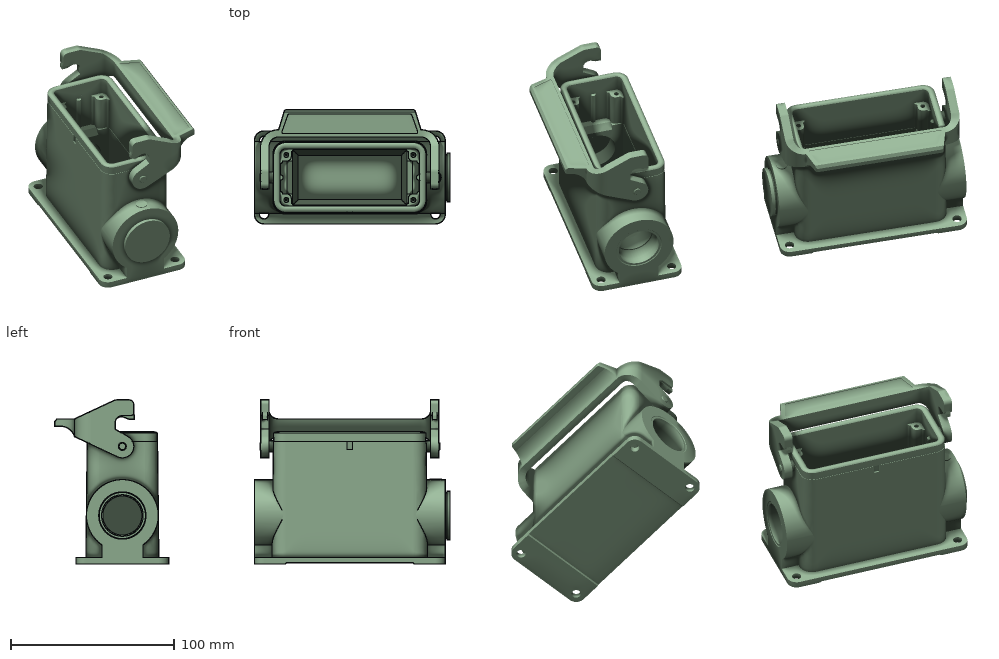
import cadquery as cq
import math

PLATE_LENGTH = 117.0
PLATE_WIDTH = 57.0
PLATE_THICKNESS = 4.0
PLATE_CORNER = 6.0
PLATE_HOLE_DIA = 5.6
RELIEF_DEPTH = 0.7
RELIEF_HALF_LENGTH = 38.7

CORNER_X = 39.3
CORNER_Y = 14.1
SHOULDER_Z = 75.0
BODY_TAPER = 0.65
SHOULDER_RADIUS = 7.5
RIM_OUTER_RADIUS = 7.3
RIM_INNER_RADIUS = 3.4
CAVITY_TAPER = 0.5
RIM_TOP_Z = 81.0
CROWN_HEIGHT = 0.9

MARK_WIDTH = 3.5
MARK_HEIGHT = 4.8
MARK_DEPTH = 0.8

LEDGE_Z = 48.0
FLOOR_Z = 4.0
LOWER_HALF_LENGTH = 35.0
LOWER_HALF_WIDTH = 17.0
FLOOR_CHAMFER = 3.4
LEDGE_BEVEL = 3.5

POST_TOP_Z = 69.5
POST_FACE_X = 35.8
POST_FACE_Y = 10.0
POST_EDGE_RADIUS = 3.0
POST_ROOT_RADIUS = 1.4
SCREW_HOLE_DIA = 3.0
SCREW_HOLE_X = 38.9
SCREW_HOLE_Y = 13.8
SCREW_HOLE_DEPTH = 12.0
SCREW_HOLE_TIP_DIA = 0.77
RIB_DIA = 3.0
RIB_INSET = 0.4

ENTRY_Z = 29.7
ENTRY_RADIUS = 22.0
ENTRY_MOUTH_DIA = 29.0
ENTRY_RECESS_DIA = 28.3
ENTRY_BORE_DIA = 25.5
ENTRY_BORE_DEPTH = 13.0
ENTRY_THROAT_DIA = 24.0
ENTRY_NECK_WIDTH = 25.0
PAD_DIA = 7.0
PAD_X = 52.5
PAD_PROUD = 0.5

PLUG_NECK_DIA = 28.0
PLUG_NECK_PROUD = 1.0
PLUG_FLANGE_DIA = 30.0
PLUG_FLANGE_THICKNESS = 2.0

PIN_Z = 72.0
PIN_COLLAR_DIA = 7.0
PIN_LEVER_DIA = 4.8
PIN_ROOT_DIA = 4.0
PIN_PROUD = 0.5
PIN_TIP_CHAMFER = 0.4

LEVER_OUTER_X = 54.6
BEND_X = 43.6
BEND_Y = 19.0
BAR_THICKNESS = 4.5
BEND_INNER_RADIUS = 5.8
LEVER_TOP_Z = 100.6
EYE_RADIUS = 7.0
EDGE_SLOPE = 25.0
THROAT_SLOPE = 30.0
HOOK_BACK_Y = 4.25
HOOK_FRONT_Y = -7.0
HOOK_BOTTOM_Z = 90.9
THROAT_RADIUS = 4.2
HOOK_TOP_RADIUS = 3.0
HOOK_LOWER_RADIUS = 1.8
CREST_RADIUS = 4.5
NUB_WIDTH = 3.0
NUB_FRONT_Y = -7.4
NUB_BOTTOM_Z = 88.6
NUB_LIP = 0.9
NUB_CREST_Y = -0.5
NUB_BACK_Y = -4.0
NUB_THROAT_RADIUS = 4.0
BEND_STEPS = 8

GRIP_TIP_Y = 41.5
GRIP_TIP_HALF_LENGTH = 39.9
GRIP_CORNER_RADIUS = 1.5
GRIP_TIP_BOTTOM_Z = 84.3
GRIP_TIP_CHAMFER_Y = 1.4
GRIP_TIP_CHAMFER_Z = 1.8
GRIP_ARC_START_Y = 37.0
GRIP_ARC_RADIUS = 9.0
PANEL_DEPTH = 0.4
PANEL_ROOT_Y = 26.8
PANEL_ROOT_HALF_LENGTH = 42.0
PANEL_TIP_Y = 38.8
PANEL_TIP_HALF_LENGTH = 37.8
PANEL_CORNER = 1.0

END_X = PLATE_LENGTH / 2
BORE_END_X = END_X - ENTRY_BORE_DEPTH
RECESS_X = END_X - (ENTRY_MOUTH_DIA - ENTRY_RECESS_DIA) / 2
BASE_RADIUS = SHOULDER_RADIUS + (SHOULDER_Z - PLATE_THICKNESS) * math.tan(math.radians(BODY_TAPER))
INNER_X = CORNER_X + RIM_INNER_RADIUS
INNER_Y = CORNER_Y + RIM_INNER_RADIUS
WALL_RADIUS = RIM_INNER_RADIUS - (SHOULDER_Z - LEDGE_Z) * math.tan(math.radians(CAVITY_TAPER))
WALL_X = CORNER_X + WALL_RADIUS
WALL_Y = CORNER_Y + WALL_RADIUS
CROWN_BASE_Z = RIM_TOP_Z - CROWN_HEIGHT
LEVER_INNER_X = BEND_X + BEND_INNER_RADIUS
LEVER_MIDDLE_X = (LEVER_OUTER_X + LEVER_INNER_X) / 2
BAR_FRONT_Y = BEND_Y + BEND_INNER_RADIUS
BAR_BACK_Y = BAR_FRONT_Y + BAR_THICKNESS


def rounded_block(radius, z_bottom, z_top, taper=0.0):
    """Block on the shared corner centres, with vertical corners of the given radius."""
    return (
        cq.Workplane("XY")
        .workplane(offset=z_bottom)
        .sketch()
        .rect(2 * (CORNER_X + radius), 2 * (CORNER_Y + radius))
        .vertices()
        .fillet(radius)
        .finalize()
        .extrude(z_top - z_bottom, taper=taper)
    )


def box_between(x_min, x_max, y_min, y_max, z_min, z_max):
    box = cq.Workplane("XY").box(x_max - x_min, y_max - y_min, z_max - z_min, centered=False)
    return box.translate((x_min, y_min, z_min))


def cylinder_x(diameter, x_start, x_end, z):
    """Cylinder along X at Y = 0."""
    section = cq.Workplane("YZ").workplane(offset=x_start).center(0, z).circle(diameter / 2)
    return section.extrude(x_end - x_start)


def make_plate():
    plate = (
        cq.Workplane("XY")
        .box(PLATE_LENGTH, PLATE_WIDTH, PLATE_THICKNESS, centered=(True, True, False))
        .edges("|Z")
        .fillet(PLATE_CORNER)
    )
    relief = (
        cq.Workplane("XZ")
        .moveTo(-RELIEF_HALF_LENGTH - RELIEF_DEPTH, 0)
        .lineTo(-RELIEF_HALF_LENGTH, RELIEF_DEPTH)
        .lineTo(RELIEF_HALF_LENGTH, RELIEF_DEPTH)
        .lineTo(RELIEF_HALF_LENGTH + RELIEF_DEPTH, 0)
        .close()
        .extrude(PLATE_WIDTH / 2, both=True)
    )
    holes = (
        cq.Workplane("XY")
        .rect(PLATE_LENGTH - 2 * PLATE_CORNER, PLATE_WIDTH - 2 * PLATE_CORNER, forConstruction=True)
        .vertices()
        .circle(PLATE_HOLE_DIA / 2)
        .extrude(PLATE_THICKNESS)
    )
    return plate.cut(relief).cut(holes)


def make_crown():
    """Rounded top of the rim: a circular segment swept around the rim."""
    middle_radius = (RIM_OUTER_RADIUS + RIM_INNER_RADIUS) / 2
    path = (
        cq.Workplane("XY")
        .workplane(offset=CROWN_BASE_Z)
        .moveTo(0, -CORNER_Y - middle_radius)
        .lineTo(CORNER_X, -CORNER_Y - middle_radius)
        .radiusArc((CORNER_X + middle_radius, -CORNER_Y), -middle_radius)
        .lineTo(CORNER_X + middle_radius, CORNER_Y)
        .radiusArc((CORNER_X, CORNER_Y + middle_radius), -middle_radius)
        .lineTo(-CORNER_X, CORNER_Y + middle_radius)
        .radiusArc((-CORNER_X - middle_radius, CORNER_Y), -middle_radius)
        .lineTo(-CORNER_X - middle_radius, -CORNER_Y)
        .radiusArc((-CORNER_X, -CORNER_Y - middle_radius), -middle_radius)
        .close()
    )
    return (
        cq.Workplane("YZ")
        .moveTo(-CORNER_Y - RIM_OUTER_RADIUS, CROWN_BASE_Z)
        .threePointArc(
            (-CORNER_Y - middle_radius, RIM_TOP_Z),
            (-CORNER_Y - RIM_INNER_RADIUS, CROWN_BASE_Z),
        )
        .close()
        .sweep(path)
    )


def make_entry():
    """Cable entry at the +X end: a round boss on a flat neck."""
    boss = cylinder_x(2 * ENTRY_RADIUS, CORNER_X, END_X, ENTRY_Z)
    half_width = ENTRY_NECK_WIDTH / 2
    neck = box_between(CORNER_X, END_X, -half_width, half_width, PLATE_THICKNESS, ENTRY_Z)
    return boss.union(neck)


def make_entry_bore():
    """Stepped bore of the +X entry, with a shallow recess at its mouth."""
    return (
        cq.Workplane("XY")
        .lineTo(0, ENTRY_THROAT_DIA / 2)
        .lineTo(BORE_END_X, ENTRY_THROAT_DIA / 2)
        .lineTo(BORE_END_X, ENTRY_BORE_DIA / 2)
        .lineTo(RECESS_X, ENTRY_BORE_DIA / 2)
        .lineTo(RECESS_X, ENTRY_RECESS_DIA / 2)
        .lineTo(END_X, ENTRY_MOUTH_DIA / 2)
        .lineTo(END_X, 0)
        .close()
        .revolve(360, (0, 0, 0), (1, 0, 0))
        .translate((0, 0, ENTRY_Z))
    )


def make_lower_cavity():
    lower = (
        box_between(
            -LOWER_HALF_LENGTH, LOWER_HALF_LENGTH, -LOWER_HALF_WIDTH, LOWER_HALF_WIDTH, FLOOR_Z, LEDGE_Z
        )
        .faces("<Z")
        .edges()
        .chamfer(FLOOR_CHAMFER)
    )
    bevel = (
        cq.Workplane("XZ")
        .moveTo(-LOWER_HALF_LENGTH, LEDGE_Z - LEDGE_BEVEL)
        .lineTo(-LOWER_HALF_LENGTH - LEDGE_BEVEL, LEDGE_Z)
        .lineTo(LOWER_HALF_LENGTH + LEDGE_BEVEL, LEDGE_Z)
        .lineTo(LOWER_HALF_LENGTH, LEDGE_Z - LEDGE_BEVEL)
        .close()
        .extrude(POST_FACE_Y, both=True)
    )
    return lower.union(bevel)


def make_post():
    """Corner post at +X, +Y: rounded inner edge, hollow fillets against both walls."""
    past_x = INNER_X + POST_ROOT_RADIUS
    past_y = INNER_Y + POST_ROOT_RADIUS
    return (
        cq.Workplane("XY")
        .workplane(offset=LEDGE_Z)
        .moveTo(past_x, past_y)
        .lineTo(past_x, POST_FACE_Y - POST_ROOT_RADIUS)
        .lineTo(WALL_X, POST_FACE_Y - POST_ROOT_RADIUS)
        .radiusArc((WALL_X - POST_ROOT_RADIUS, POST_FACE_Y), POST_ROOT_RADIUS)
        .lineTo(POST_FACE_X + POST_EDGE_RADIUS, POST_FACE_Y)
        .radiusArc((POST_FACE_X, POST_FACE_Y + POST_EDGE_RADIUS), POST_EDGE_RADIUS)
        .lineTo(POST_FACE_X, WALL_Y - POST_ROOT_RADIUS)
        .radiusArc((POST_FACE_X - POST_ROOT_RADIUS, WALL_Y), POST_ROOT_RADIUS)
        .lineTo(POST_FACE_X - POST_ROOT_RADIUS, past_y)
        .close()
        .extrude(POST_TOP_Z - LEDGE_Z)
    )


def make_screw_hole():
    """Hole in the +X, +Y post: a cylinder ending in a drill point."""
    radius = SCREW_HOLE_DIA / 2
    tip_radius = SCREW_HOLE_TIP_DIA / 2
    return (
        cq.Workplane("XZ")
        .lineTo(radius, 0)
        .lineTo(radius, -SCREW_HOLE_DEPTH)
        .lineTo(tip_radius, -SCREW_HOLE_DEPTH - radius + tip_radius)
        .lineTo(0, -SCREW_HOLE_DEPTH - radius + tip_radius)
        .close()
        .revolve(360, (0, 0, 0), (0, 1, 0))
        .translate((SCREW_HOLE_X, SCREW_HOLE_Y, POST_TOP_Z))
    )


def four_corners(shape):
    """The shape and its mirror images across X = 0 and Y = 0, as a list."""
    pair = [shape, shape.mirror("YZ")]
    return pair + [copy.mirror("XZ") for copy in pair]


def make_cavity():
    cavity = rounded_block(RIM_INNER_RADIUS, SHOULDER_Z, RIM_TOP_Z).union(
        rounded_block(WALL_RADIUS, LEDGE_Z, SHOULDER_Z, -CAVITY_TAPER)
    )
    for post in four_corners(make_post()):
        cavity = cavity.cut(post)
    ribs = (
        cq.Workplane("XY")
        .workplane(offset=LEDGE_Z)
        .pushPoints([(-INNER_X + RIB_INSET, 0), (INNER_X - RIB_INSET, 0)])
        .circle(RIB_DIA / 2)
        .extrude(POST_TOP_Z - LEDGE_Z)
    )
    cavity = cavity.cut(ribs).union(make_lower_cavity())
    for hole in four_corners(make_screw_hole()):
        cavity = cavity.union(hole)
    return cavity


def make_wall_envelope():
    """Solid outside of the housing wall: the tapered body and the rim above its shoulder."""
    body = rounded_block(BASE_RADIUS, PLATE_THICKNESS, SHOULDER_Z, BODY_TAPER)
    return body.union(rounded_block(RIM_OUTER_RADIUS, SHOULDER_Z, CROWN_BASE_Z))


def make_mark():
    """Cutter for the shallow notch below the rim on the -Y wall."""
    half_width = MARK_WIDTH / 2
    notch_floor_y = -CORNER_Y - SHOULDER_RADIUS + MARK_DEPTH
    outside_y = -CORNER_Y - BASE_RADIUS
    return box_between(
        -half_width, half_width, outside_y, notch_floor_y, SHOULDER_Z - MARK_HEIGHT, SHOULDER_Z
    )


def make_housing():
    housing = make_plate().union(make_wall_envelope())
    entry = make_entry()
    pad = (
        cq.Workplane("XY")
        .workplane(offset=ENTRY_Z + ENTRY_RADIUS - PAD_PROUD)
        .center(PAD_X, 0)
        .circle(PAD_DIA / 2)
        .extrude(2 * PAD_PROUD)
    )
    housing = housing.union(entry).union(entry.mirror("YZ")).union(pad)
    housing = housing.cut(make_cavity()).union(make_crown())
    bore = make_entry_bore()
    pin_hole = cylinder_x(PIN_ROOT_DIA, 0, END_X, PIN_Z)
    for cutter in (bore, pin_hole):
        housing = housing.cut(cutter).cut(cutter.mirror("YZ"))
    return housing.cut(make_mark())


def make_plug():
    """Plug of the +X entry: spigot filling the bore, neck on the recess floor, flange."""
    neck_end = END_X + PLUG_NECK_PROUD
    spigot = cylinder_x(ENTRY_BORE_DIA, BORE_END_X, RECESS_X, ENTRY_Z)
    neck = cylinder_x(PLUG_NECK_DIA, RECESS_X, neck_end, ENTRY_Z)
    flange = cylinder_x(PLUG_FLANGE_DIA, neck_end, neck_end + PLUG_FLANGE_THICKNESS, ENTRY_Z)
    return spigot.union(neck).union(flange)


def make_pin():
    """Pin at the +X side: root in the housing wall, collar, and tip through the lever."""
    root = cylinder_x(PIN_ROOT_DIA, INNER_X, LEVER_INNER_X, PIN_Z)
    collar = cylinder_x(PIN_COLLAR_DIA, INNER_X, LEVER_INNER_X, PIN_Z)
    tip = cylinder_x(PIN_LEVER_DIA, LEVER_INNER_X, LEVER_OUTER_X + PIN_PROUD, PIN_Z)
    tip = tip.faces(">X").chamfer(PIN_TIP_CHAMFER)
    return root.union(collar.cut(make_wall_envelope())).union(tip)


EDGE_TAN = math.tan(math.radians(EDGE_SLOPE))
EYE_BACK_Y = EYE_RADIUS * math.sin(math.radians(EDGE_SLOPE))
EYE_BACK_Z = PIN_Z - EYE_RADIUS * math.cos(math.radians(EDGE_SLOPE))


def upper_edge_z(y):
    """Height of the sloped upper edge of the arms."""
    return LEVER_TOP_Z - (y - HOOK_BACK_Y) * EDGE_TAN


def lower_edge_z(y):
    """Height of the sloped lower edge of the arms, tangent to the pivot eye."""
    return EYE_BACK_Z + (y - EYE_BACK_Y) * EDGE_TAN


BAR_TOP_Z = upper_edge_z(BAR_BACK_Y)
BAR_BOTTOM_Z = lower_edge_z(BAR_BACK_Y)


def make_arm():
    """Flat hooked arm at the +X side, ending at the bend."""
    throat = math.radians(THROAT_SLOPE)
    throat_end_y = -EYE_RADIUS * math.sin(throat)
    throat_end_z = PIN_Z + EYE_RADIUS * math.cos(throat)
    throat_corner_z = throat_end_z + (HOOK_BACK_Y - throat_end_y) * math.tan(throat)
    crest_run = CREST_RADIUS * math.tan(math.radians(EDGE_SLOPE / 2))
    crest_back_y = HOOK_BACK_Y + crest_run * math.cos(math.radians(EDGE_SLOPE))
    return (
        cq.Workplane("YZ")
        .workplane(offset=LEVER_INNER_X)
        .moveTo(BEND_Y, upper_edge_z(BEND_Y))
        .lineTo(crest_back_y, upper_edge_z(crest_back_y))
        .radiusArc((HOOK_BACK_Y - crest_run, LEVER_TOP_Z), -CREST_RADIUS)
        .lineTo(HOOK_FRONT_Y + HOOK_TOP_RADIUS, LEVER_TOP_Z)
        .radiusArc((HOOK_FRONT_Y, LEVER_TOP_Z - HOOK_TOP_RADIUS), -HOOK_TOP_RADIUS)
        .lineTo(HOOK_FRONT_Y, HOOK_BOTTOM_Z + HOOK_LOWER_RADIUS)
        .radiusArc((HOOK_FRONT_Y + HOOK_LOWER_RADIUS, HOOK_BOTTOM_Z), -HOOK_LOWER_RADIUS)
        .lineTo(HOOK_BACK_Y - THROAT_RADIUS, HOOK_BOTTOM_Z)
        .radiusArc((HOOK_BACK_Y, HOOK_BOTTOM_Z - THROAT_RADIUS), THROAT_RADIUS)
        .lineTo(HOOK_BACK_Y, throat_corner_z)
        .lineTo(throat_end_y, throat_end_z)
        .threePointArc((-EYE_RADIUS, PIN_Z), (0, PIN_Z - EYE_RADIUS))
        .radiusArc((EYE_BACK_Y, EYE_BACK_Z), -EYE_RADIUS)
        .lineTo(BEND_Y, lower_edge_z(BEND_Y))
        .close()
        .extrude(LEVER_OUTER_X - LEVER_INNER_X)
    )


def make_bend():
    """Bend at the +X side; its sloped top and bottom stay level along every radius."""
    outer_x_radius = LEVER_OUTER_X - BEND_X
    outer_y_radius = BAR_BACK_Y - BEND_Y

    def bend_edge(x_radius, y_radius, edge_z):
        points = []
        for step in range(BEND_STEPS + 1):
            angle = math.pi / 2 * step / BEND_STEPS
            height = edge_z(BEND_Y + outer_y_radius * math.sin(angle))
            points.append(
                cq.Vector(BEND_X + x_radius * math.cos(angle), BEND_Y + y_radius * math.sin(angle), height)
            )
        return cq.Edge.makeSpline(points)

    edges = [
        bend_edge(BEND_INNER_RADIUS, BEND_INNER_RADIUS, lower_edge_z),
        bend_edge(outer_x_radius, outer_y_radius, lower_edge_z),
        bend_edge(outer_x_radius, outer_y_radius, upper_edge_z),
        bend_edge(BEND_INNER_RADIUS, BEND_INNER_RADIUS, upper_edge_z),
    ]
    faces = [cq.Face.makeRuledSurface(edges[i - 1], edges[i]) for i in range(len(edges))]
    for corners in ([edge.startPoint() for edge in edges], [edge.endPoint() for edge in edges]):
        faces.append(cq.Face.makeFromWires(cq.Wire.makePolygon(corners, close=True)))
    return cq.Workplane(cq.Solid.makeSolid(cq.Shell.makeShell(faces)))


def make_grip():
    """Finger grip behind the bar: a side profile trimmed to a tapering plan."""
    profile = (
        cq.Workplane("YZ")
        .moveTo(BAR_FRONT_Y, BAR_TOP_Z)
        .lineTo(GRIP_TIP_Y - GRIP_TIP_CHAMFER_Y, BAR_TOP_Z)
        .lineTo(GRIP_TIP_Y, BAR_TOP_Z - GRIP_TIP_CHAMFER_Z)
        .lineTo(GRIP_TIP_Y, GRIP_TIP_BOTTOM_Z)
        .lineTo(GRIP_ARC_START_Y, GRIP_TIP_BOTTOM_Z)
        .radiusArc((BAR_BACK_Y, BAR_BOTTOM_Z), -GRIP_ARC_RADIUS)
        .lineTo(BAR_FRONT_Y, BAR_BOTTOM_Z)
        .close()
        .extrude(BEND_X, both=True)
    )
    plan = (
        cq.Workplane("XY")
        .workplane(offset=BAR_BOTTOM_Z)
        .moveTo(-BEND_X, BAR_FRONT_Y)
        .lineTo(BEND_X, BAR_FRONT_Y)
        .lineTo(BEND_X, BAR_BACK_Y)
        .lineTo(GRIP_TIP_HALF_LENGTH, GRIP_TIP_Y)
        .lineTo(-GRIP_TIP_HALF_LENGTH, GRIP_TIP_Y)
        .lineTo(-BEND_X, BAR_BACK_Y)
        .close()
        .extrude(BAR_TOP_Z - BAR_BOTTOM_Z)
        .edges("|Z and >Y")
        .fillet(GRIP_CORNER_RADIUS)
    )
    panel = (
        cq.Workplane("XY")
        .workplane(offset=BAR_TOP_Z - PANEL_DEPTH)
        .moveTo(-PANEL_ROOT_HALF_LENGTH, PANEL_ROOT_Y)
        .lineTo(PANEL_ROOT_HALF_LENGTH, PANEL_ROOT_Y)
        .lineTo(PANEL_TIP_HALF_LENGTH, PANEL_TIP_Y)
        .lineTo(-PANEL_TIP_HALF_LENGTH, PANEL_TIP_Y)
        .close()
        .extrude(PANEL_DEPTH)
        .edges("|Z")
        .fillet(PANEL_CORNER)
    )
    return profile.intersect(plan).cut(panel)


def make_nub():
    """Catch under the +X hook, narrower than the arm, wrapping into the throat."""
    return (
        cq.Workplane("YZ")
        .workplane(offset=LEVER_MIDDLE_X - NUB_WIDTH / 2)
        .moveTo(HOOK_BACK_Y, NUB_BOTTOM_Z - NUB_LIP)
        .radiusArc((NUB_CREST_Y, HOOK_BOTTOM_Z - NUB_LIP), -NUB_THROAT_RADIUS)
        .lineTo(NUB_BACK_Y, NUB_BOTTOM_Z)
        .lineTo(NUB_FRONT_Y, NUB_BOTTOM_Z)
        .lineTo(NUB_FRONT_Y, HOOK_BOTTOM_Z)
        .lineTo(HOOK_FRONT_Y, HOOK_BOTTOM_Z + HOOK_LOWER_RADIUS)
        .lineTo(HOOK_BACK_Y, HOOK_BOTTOM_Z + HOOK_LOWER_RADIUS)
        .close()
        .extrude(NUB_WIDTH)
    )


def make_lever():
    side = make_arm().union(make_bend()).union(make_nub())
    eye = cylinder_x(PIN_LEVER_DIA, LEVER_INNER_X, LEVER_OUTER_X, PIN_Z)
    side = side.cut(eye)
    return make_grip().union(side).union(side.mirror("YZ"))


housing = make_housing()
plug = make_plug()
pin = make_pin()
pins = [pin.val(), pin.mirror("YZ").val()]
lever = make_lever()
result = cq.Compound.makeCompound([housing.val(), plug.val(), *pins, lever.val()])